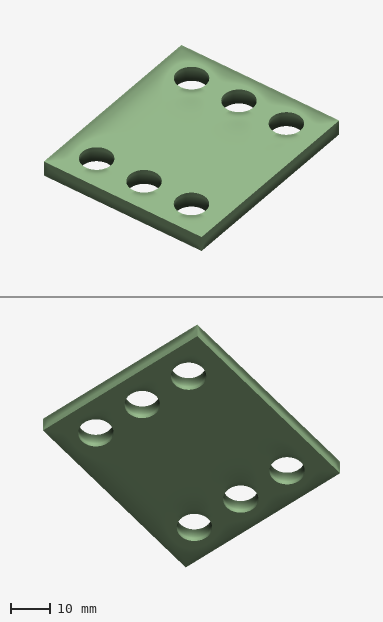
import cadquery as cq

plate_width = 50.0
plate_length = 58.0
plate_thickness = 4.6

hole_diameter = 9.0
holes_per_row = 3
row_count = 2
hole_pitch = 15.0
row_spacing = 40.0

plate = cq.Workplane("XY").box(plate_width, plate_length, plate_thickness)

result = (
    plate.faces(">Z")
    .workplane()
    .rarray(hole_pitch, row_spacing, holes_per_row, row_count)
    .hole(hole_diameter)
)